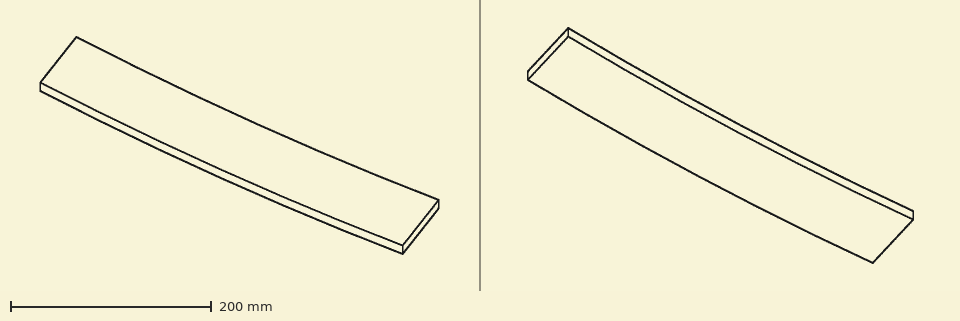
import cadquery as cq

length = 420.0
width = 70.0
thickness = 13.0
sag = 9.0

half_length = length / 2

profile = (
    cq.Workplane("XZ")
    .moveTo(-half_length, 0)
    .threePointArc((0, -sag), (half_length, 0))
    .lineTo(half_length, thickness)
    .threePointArc((0, thickness - sag), (-half_length, thickness))
    .close()
)

result = profile.extrude(width / 2, both=True)